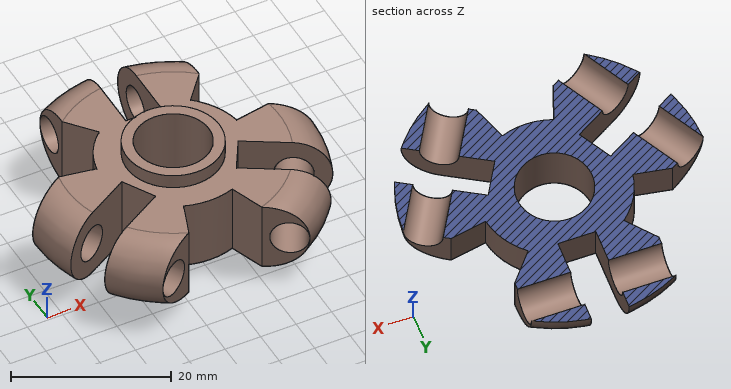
import cadquery as cq
import math

outer_radius = 20.0
plate_thickness = 10.0
edge_radius = plate_thickness / 2
pin_circle_radius = outer_radius - edge_radius
core_radius = 10.0

hub_radius = 6.5
hub_height = 14.0
bore_radius = 5.0

arm_count = 3
first_arm_angle = 90.0
arm_half_angle = 40.0
arm_half_width = pin_circle_radius * math.sin(math.radians(arm_half_angle))
flank_end = pin_circle_radius * math.cos(math.radians(arm_half_angle))
slot_width = 5.0
slot_floor = 8.0
pin_hole_radius = 2.5
arm_reach = outer_radius + 1.0


def rounded_disc():
    """Disc whose rim is a half circle in section."""
    return (
        cq.Workplane("XZ")
        .moveTo(0, -edge_radius)
        .lineTo(pin_circle_radius, -edge_radius)
        .threePointArc((outer_radius, 0), (pin_circle_radius, edge_radius))
        .lineTo(0, edge_radius)
        .close()
        .revolve(360, (0, 0, 0), (0, 1, 0))
    )


def around_hub(shape):
    """Union of copies of a shape lying along +X, one turned to each arm."""
    copies = cq.Workplane("XY")
    for index in range(arm_count):
        angle = first_arm_angle + index * 360 / arm_count
        copies = copies.union(shape.rotate((0, 0, 0), (0, 0, 1), angle))
    return copies


def arm_blank():
    """Arm along +X: flanks leave the axis radially, then run parallel."""
    return (
        cq.Workplane("XY")
        .polyline([
            (0, 0),
            (flank_end, -arm_half_width),
            (arm_reach, -arm_half_width),
            (arm_reach, arm_half_width),
            (flank_end, arm_half_width),
        ])
        .close()
        .extrude(edge_radius, both=True)
    )


def fork_slot():
    """Slot that splits an arm lying along +X into two lugs."""
    return (
        cq.Workplane("XY")
        .box(arm_reach - slot_floor, slot_width, plate_thickness, centered=(False, True, True))
        .translate((slot_floor, 0, 0))
    )


def pin_hole():
    """Cross hole through both lugs of an arm lying along +X."""
    return (
        cq.Workplane("XZ")
        .center(pin_circle_radius, 0)
        .circle(pin_hole_radius)
        .extrude(arm_half_width, both=True)
    )


core = cq.Workplane("XY").circle(core_radius).extrude(edge_radius, both=True)
hub = cq.Workplane("XY").circle(hub_radius).extrude(hub_height / 2, both=True)
bore = cq.Workplane("XY").circle(bore_radius).extrude(hub_height / 2, both=True)

arms = rounded_disc().intersect(around_hub(arm_blank()))
spider = core.union(arms).cut(around_hub(fork_slot())).cut(around_hub(pin_hole()))
result = spider.union(hub).cut(bore)